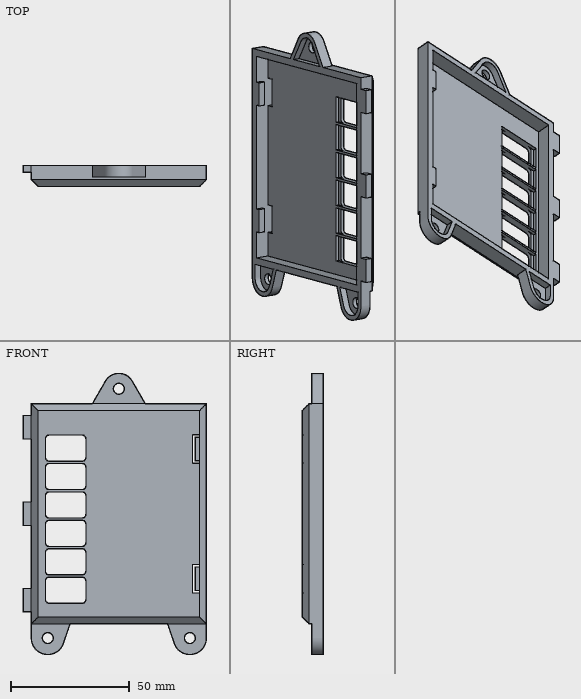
import cadquery as cq

body_width = 74.0
body_height = 93.0
body_depth = 9.0
wall = 3.0
bevel = 3.0

lug_thickness = 5.0
lug_hole_diameter = 4.5
lug_rim = 2.0
lug_web = 2.0
lug_root_depth = lug_rim
top_lug_radius = 6.5
top_lug_rise = 6.3
top_lug_root_half_width = 12.4
bottom_lug_radius = 7.0
bottom_lug_drop = 5.9
bottom_lug_root_reach = 10.1

window_count = 6
window_width = 17.0
window_height = 10.9
window_pitch = 12.0
window_corner_radius = 1.5
window_left_inset = 6.0
window_top_inset = 13.3
window_plate = 1.5
recess_margin = 1.5

tab_count = 3
tab_reach = 3.5
tab_height = 10.0
tab_depth = 3.0
tab_pitch = 36.5
tab_top_inset = 5.0

latch_count = 2
latch_pitch = 54.8
latch_top_inset = 13.2
opening_width = 2.9
opening_height = 11.9
catch_reach = 1.8
catch_height = 10.0
catch_depth = 3.0

left = -body_width / 2
right = body_width / 2
top = body_height / 2
bottom = -body_height / 2
front = -body_depth
inner_right = right - wall


def block(x_start, x_end, y_start, y_end, z_start, z_end):
    """Axis-aligned block between two corners."""
    size = (x_end - x_start, y_end - y_start, z_end - z_start)
    return cq.Workplane("XY").box(*size, centered=False).translate((x_start, y_start, z_start))


def shell():
    """Bevelled box with a pocket open at the back."""
    outer = block(left, right, front, 0, bottom, top).faces("<Y").chamfer(bevel)
    pocket = block(left + wall, inner_right, front + wall, 0, bottom + wall, top - wall)
    return outer.cut(pocket)


def tangent_point(start_x, start_z, radius):
    """Point where the line from (start_x, start_z) touches a circle at the origin on its far +X side."""
    distance_squared = start_x**2 + start_z**2
    along = radius**2 / distance_squared
    across = radius * (distance_squared - radius**2) ** 0.5 / distance_squared
    return along * start_x - across * start_z, along * start_z + across * start_x


def lug(outline, centre_x, centre_z):
    """Drilled plate outlined about its hole centre, hollowed to a rim and a front web."""
    edge = outline.close().val()
    plate = cq.Workplane("XZ").add(edge).toPending().extrude(lug_thickness)
    hollow = cq.Workplane("XZ").add(edge).toPending().offset2D(-lug_rim).extrude(lug_thickness - lug_web)
    hole = cq.Workplane("XZ").circle(lug_hole_diameter / 2).extrude(lug_thickness)
    return plate.cut(hollow).cut(hole).translate((centre_x, 0, centre_z))


def top_lug():
    """Symmetric lug whose straight flanks run into a round tip."""
    root_x = top_lug_root_half_width
    root_z = -top_lug_rise - lug_root_depth
    touch_x, touch_z = tangent_point(root_x, root_z, top_lug_radius)
    outline = (
        cq.Workplane("XZ")
        .moveTo(-root_x, root_z)
        .lineTo(root_x, root_z)
        .lineTo(touch_x, touch_z)
        .threePointArc((0, top_lug_radius), (-touch_x, touch_z))
    )
    return lug(outline, 0, top + top_lug_rise)


def bottom_left_lug():
    """Lug with its outer side flush with the body and a slanted inner flank."""
    root_x = bottom_lug_root_reach
    root_z = bottom_lug_drop + lug_root_depth
    touch_x, touch_z = tangent_point(root_x, -root_z, bottom_lug_radius)
    outline = (
        cq.Workplane("XZ")
        .moveTo(-bottom_lug_radius, root_z)
        .lineTo(root_x, root_z)
        .lineTo(touch_x, -touch_z)
        .threePointArc((0, -bottom_lug_radius), (-bottom_lug_radius, 0))
    )
    return lug(outline, left + bottom_lug_radius, bottom - bottom_lug_drop)


def cut_windows(body):
    """Rounded windows; the recess behind each is wider but keeps the bars between them full depth."""
    window_left = left + window_left_inset
    window_right = window_left + window_width
    plate_back = front + window_plate
    for index in range(window_count):
        window_top = top - window_top_inset - index * window_pitch
        window_bottom = window_top - window_height
        window = block(window_left, window_right, front, plate_back, window_bottom, window_top)
        body = body.cut(window.edges("|Y").fillet(window_corner_radius))
        recess = block(
            window_left - recess_margin, window_right + recess_margin,
            plate_back, front + wall, window_bottom, window_top,
        )
        body = body.cut(recess)
    return body


def add_tabs(body):
    """Hinge tabs standing out of the left side, flush with the back."""
    for index in range(tab_count):
        tab_top = top - tab_top_inset - index * tab_pitch
        body = body.union(block(left - tab_reach, left, -tab_depth, 0, tab_top - tab_height, tab_top))
    return body


def add_latches(body):
    """Openings beside the right wall, with a catch on that wall centred behind each."""
    for index in range(latch_count):
        centre = top - latch_top_inset - opening_height / 2 - index * latch_pitch
        opening = block(
            inner_right - opening_width, inner_right, front, front + wall,
            centre - opening_height / 2, centre + opening_height / 2,
        )
        catch = block(
            inner_right - catch_reach, inner_right, -catch_depth, 0,
            centre - catch_height / 2, centre + catch_height / 2,
        )
        body = body.cut(opening).union(catch)
    return body


result = add_latches(add_tabs(cut_windows(shell())))
result = result.union(top_lug())
result = result.union(bottom_left_lug()).union(bottom_left_lug().mirror("YZ"))